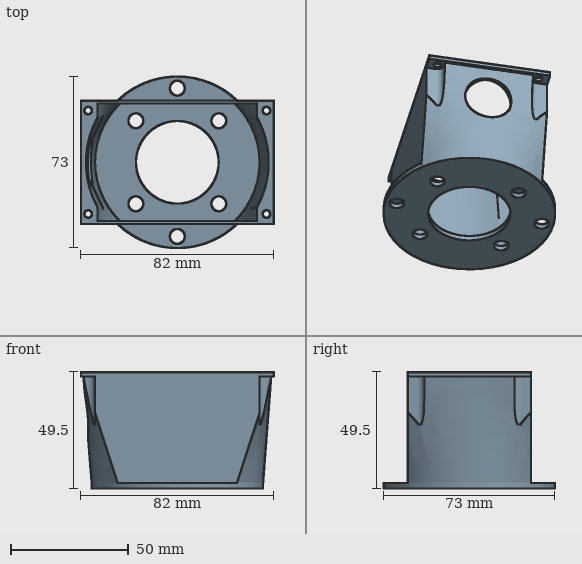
import cadquery as cq
import math

flange_length = 82
flange_width = 52.5
height = 49.5
flange_thickness = 2.0
base_diameter = 73
base_thickness = 2.5

end_overhang = 1.1
side_wall = 1.3
floor_cavity_radius = 34.9
top_cavity_radius = 38.9
mouth_length = 67.7

center_bore = 35.0
base_hole = 6.2
lug_hole_offset = 31.5
motor_hole_offset = 17.6
screw_hole = 3.1
screw_x = 37.9
screw_y = 22.0
screw_clearance_radius = 2.9
screw_pocket_depth = 24.6
cable_hole = 20.0
cable_hole_height = 32.4

flange_bottom = height - flange_thickness
body_height = flange_bottom - base_thickness
body_top_length = flange_length - 2 * end_overhang
cavity_width = flange_width - 2 * side_wall
screw_points = [(sx * screw_x, sy * screw_y) for sx in (-1, 1) for sy in (-1, 1)]


def flat_sided_circle(radius, width):
    """Circle outline at the floor, cut off flat at y = +/- width / 2."""
    half = width / 2
    corner = math.sqrt(radius**2 - half**2)
    return (
        cq.Workplane("XY", origin=(0, 0, base_thickness))
        .moveTo(-corner, -half)
        .lineTo(corner, -half)
        .threePointArc((radius, 0), (corner, half))
        .lineTo(-corner, half)
        .threePointArc((-radius, 0), (-corner, -half))
        .close()
    )


def round_to_rectangle(radius, length, width):
    """Straight-ruled body from a flat-sided circle up to a rectangle under the flange."""
    half_x = length / 2
    half_y = width / 2
    return (
        flat_sided_circle(radius, width)
        .workplane(offset=body_height)
        .moveTo(-half_x, -half_y)
        .lineTo(half_x, -half_y)
        .lineTo(half_x, half_y)
        .lineTo(-half_x, half_y)
        .close()
        .loft(ruled=True)
    )


def screw_pockets():
    """Clearance below the flange around each screw, open towards the outer corners."""
    pocket_bottom = flange_bottom - screw_pocket_depth
    pockets = (
        cq.Workplane("XY", origin=(0, 0, pocket_bottom))
        .pushPoints(screw_points)
        .circle(screw_clearance_radius)
        .extrude(screw_pocket_depth)
    )
    inner_x = screw_x - screw_clearance_radius
    inner_y = screw_y - screw_clearance_radius
    length = flange_length / 2 - inner_x
    width = flange_width / 2 - inner_y
    for x, y in screw_points:
        for start_x, start_y in [(inner_x, screw_y), (screw_x, inner_y)]:
            block = cq.Workplane("XY").box(length, width, screw_pocket_depth).translate((
                math.copysign(start_x + length / 2, x),
                math.copysign(start_y + width / 2, y),
                pocket_bottom + screw_pocket_depth / 2,
            ))
            pockets = pockets.union(block)
    return pockets


def cavity():
    """Tapered rectangular mouth joined with a round cone, both open through the flange."""
    tapered_mouth = round_to_rectangle(floor_cavity_radius, mouth_length, cavity_width)
    cone = (
        cq.Workplane("XY", origin=(0, 0, base_thickness))
        .circle(floor_cavity_radius)
        .workplane(offset=body_height)
        .circle(top_cavity_radius)
        .loft(ruled=True)
    )
    flange_plane = cq.Workplane("XY", origin=(0, 0, flange_bottom))
    round_opening = flange_plane.circle(top_cavity_radius).extrude(flange_thickness)
    side_limits = cq.Workplane("XY").box(flange_length, cavity_width, 2 * height)
    round_part = cone.union(round_opening).intersect(side_limits)
    mouth_opening = flange_plane.rect(mouth_length, cavity_width).extrude(flange_thickness)
    return round_part.union(tapered_mouth).union(mouth_opening)


base = cq.Workplane("XY").circle(base_diameter / 2).extrude(base_thickness)
housing = round_to_rectangle(base_diameter / 2, body_top_length, flange_width).cut(screw_pockets())
flange = (
    cq.Workplane("XY", origin=(0, 0, flange_bottom))
    .rect(flange_length, flange_width)
    .extrude(flange_thickness)
)
result = base.union(housing).union(flange).cut(cavity())

base_hole_points = [(0, -lug_hole_offset), (0, lug_hole_offset)]
base_hole_points += [
    (sx * motor_hole_offset, sy * motor_hole_offset) for sx in (-1, 1) for sy in (-1, 1)
]
result = result.cut(cq.Workplane("XY").circle(center_bore / 2).extrude(base_thickness))
result = result.cut(
    cq.Workplane("XY").pushPoints(base_hole_points).circle(base_hole / 2).extrude(base_thickness)
)

result = result.cut(
    cq.Workplane("XY", origin=(0, 0, flange_bottom))
    .pushPoints(screw_points)
    .circle(screw_hole / 2)
    .extrude(flange_thickness)
)

result = result.cut(
    cq.Workplane("YZ", origin=(-flange_length / 2, 0, 0))
    .center(0, cable_hole_height)
    .circle(cable_hole / 2)
    .extrude(flange_length / 2)
)